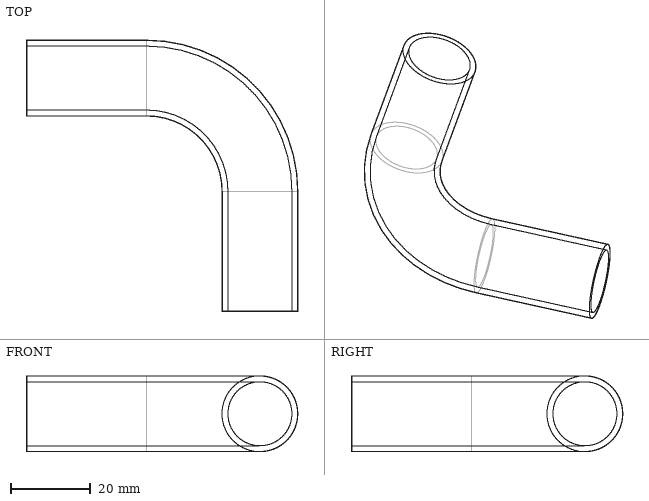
import cadquery as cq
import math

overall_length = 68.1
outer_diameter = 19.1
inner_diameter = 16.1
bend_radius = 28.45
straight_length = overall_length - outer_diameter / 2 - bend_radius

bend_midpoint = bend_radius * math.sqrt(0.5)
centreline = (
    cq.Workplane("XY")
    .moveTo(-straight_length, bend_radius)
    .lineTo(0, bend_radius)
    .threePointArc((bend_midpoint, bend_midpoint), (bend_radius, 0))
    .lineTo(bend_radius, -straight_length)
)

result = (
    cq.Workplane("YZ", origin=(-straight_length, bend_radius, 0))
    .circle(outer_diameter / 2)
    .circle(inner_diameter / 2)
    .sweep(centreline)
)